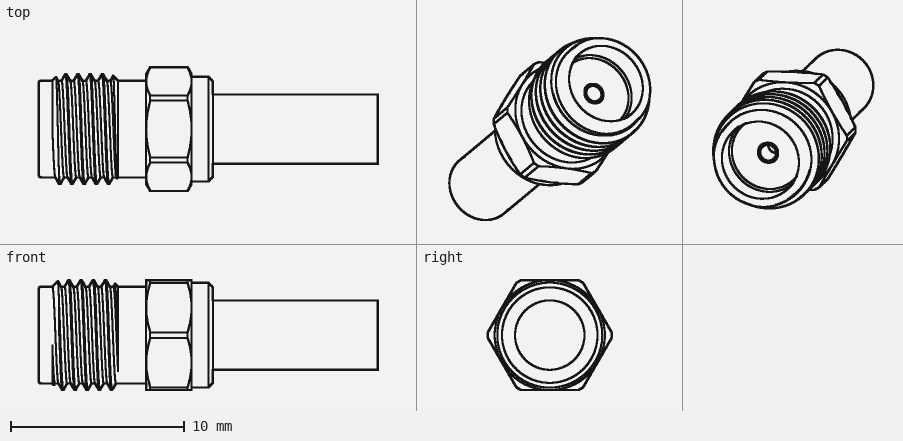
import cadquery as cq
import math


BARREL_DIAMETER = 5.58
MOUTH_FILLET = 0.14
BORE_DIAMETER = 4.57
BORE_DEPTH = 1.9
FLOOR_CHAMFER = 0.14

THREAD_DIAMETER = 6.35
THREAD_START = 0.78
THREAD_END = 4.57
THREAD_PITCH = 0.7
THREAD_FLANK_ANGLE = 30.0
THREAD_CREST_WIDTH = 0.05
THREAD_TOP_CREST = 1.74
ROOT_OVERLAP = 0.05
CREST_CLEARANCE = 0.1

HEX_START = 6.18
HEX_LENGTH = 2.61
HEX_ACROSS_FLATS = 6.35
HEX_CORNER_DIAMETER = 7.15
HEX_CHAMFER_ANGLE = 30.0
HEX_END = HEX_START + HEX_LENGTH

COLLAR_DIAMETER = 6.05
COLLAR_LENGTH = 1.23
COLLAR_CHAMFER = 0.27
TAIL_DIAMETER = 4.0
TOTAL_LENGTH = 19.51
COLLAR_END = HEX_END + COLLAR_LENGTH

CONTACT_DIAMETER = 1.19
CONTACT_LENGTH = 3.9
SOCKET_DIAMETER = 0.94
SOCKET_DEPTH = 1.95


def revolve_about_x(points):
    """Revolve an outline of (x, radius) points about the X axis."""
    return cq.Workplane("XY").polyline(points).close().revolve(360, (0, 0, 0), (1, 0, 0))


def cylinder(start, length, diameter):
    return cq.Workplane("YZ", origin=(start, 0, 0)).circle(diameter / 2).extrude(length)


def make_turned_body():
    barrel = BARREL_DIAMETER / 2
    collar = COLLAR_DIAMETER / 2
    tail = TAIL_DIAMETER / 2
    body = revolve_about_x([
        (0, 0),
        (0, barrel),
        (HEX_START, barrel),
        (HEX_START, collar),
        (COLLAR_END - COLLAR_CHAMFER, collar),
        (COLLAR_END, collar - COLLAR_CHAMFER),
        (COLLAR_END, tail),
        (TOTAL_LENGTH, tail),
        (TOTAL_LENGTH, 0),
    ])
    return body.faces("<X").edges().fillet(MOUTH_FILLET)


def make_hexagon():
    """Hexagon with flats on +Z and -Z, turned corners and a cone at each end."""
    across_corners = HEX_ACROSS_FLATS / math.cos(math.radians(30))
    prism = cq.Workplane("YZ", origin=(HEX_START, 0, 0)).polygon(6, across_corners).extrude(HEX_LENGTH)
    flat = HEX_ACROSS_FLATS / 2
    corner = HEX_CORNER_DIAMETER / 2
    chamfer_length = (corner - flat) * math.tan(math.radians(HEX_CHAMFER_ANGLE))
    envelope = revolve_about_x([
        (HEX_START, 0),
        (HEX_START, flat),
        (HEX_START + chamfer_length, corner),
        (HEX_END - chamfer_length, corner),
        (HEX_END, flat),
        (HEX_END, 0),
    ])
    return prism.intersect(envelope)


def make_thread():
    """Right-hand helical ridge whose two ends fade out on 45 degree cones."""
    root = BARREL_DIAMETER / 2 - ROOT_OVERLAP
    crest = THREAD_DIAMETER / 2
    half_crest = THREAD_CREST_WIDTH / 2
    half_root = half_crest + (crest - root) * math.tan(math.radians(THREAD_FLANK_ANGLE))

    turns_before = math.ceil((THREAD_TOP_CREST - THREAD_START) / THREAD_PITCH)
    turns_after = math.ceil((THREAD_END - THREAD_TOP_CREST) / THREAD_PITCH)
    ridge_start = THREAD_TOP_CREST - turns_before * THREAD_PITCH
    ridge_length = (turns_before + turns_after) * THREAD_PITCH
    helix = cq.Wire.makeHelix(THREAD_PITCH, ridge_length, root)
    ridge = (
        cq.Workplane("XZ")
        .polyline([(root, -half_root), (crest, -half_crest), (crest, half_crest), (root, half_root)])
        .close()
        .sweep(cq.Workplane(obj=helix), isFrenet=True)
        .rotate((0, 0, 0), (0, 1, 0), 90)
        .rotate((0, 0, 0), (1, 0, 0), 180)
        .translate((ridge_start, 0, 0))
    )

    barrel = BARREL_DIAMETER / 2
    fade_length = crest - barrel + CREST_CLEARANCE
    envelope = revolve_about_x([
        (THREAD_START, 0),
        (THREAD_START, barrel),
        (THREAD_START + fade_length, barrel + fade_length),
        (THREAD_END - fade_length, barrel + fade_length),
        (THREAD_END, barrel),
        (THREAD_END, 0),
    ])
    return ridge.intersect(envelope)


def make_bore():
    """Blind bore whose floor edge is a small cone."""
    bore = BORE_DIAMETER / 2
    return revolve_about_x([
        (0, 0),
        (0, bore),
        (BORE_DEPTH - FLOOR_CHAMFER, bore),
        (BORE_DEPTH, bore - FLOOR_CHAMFER),
        (BORE_DEPTH, 0),
    ])


def make_housing():
    contact_hole = cylinder(BORE_DEPTH, CONTACT_LENGTH, CONTACT_DIAMETER)
    return (
        make_turned_body()
        .union(make_hexagon())
        .union(make_thread())
        .cut(make_bore())
        .cut(contact_hole)
    )


def make_contact():
    """Round contact, flush with the bore floor, with a blind socket in its front end."""
    pin = cylinder(BORE_DEPTH, CONTACT_LENGTH, CONTACT_DIAMETER)
    socket = cylinder(BORE_DEPTH, SOCKET_DEPTH, SOCKET_DIAMETER)
    return pin.cut(socket)


housing = make_housing()
contact = make_contact()

result = cq.Compound.makeCompound([housing.solids().val(), contact.val()])